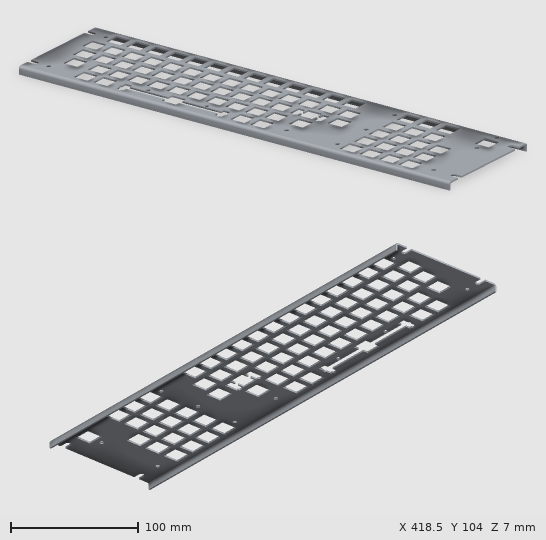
import cadquery as cq


length = 418.5
depth = 104.0
height = 7.0
sheet = 1.5
bend_outer_radius = 2.5
bend_inner_radius = bend_outer_radius - sheet

row_span = 76.0
pitch = row_span / 4
web_between_switches = 5.0
switch_size = pitch - web_between_switches
key_block_x = -length / 2 + 12.0

main_rows = {
    2: [1 + i for i in range(13)],
    1: [0.5 + i for i in range(14)],
    0: [0.75 + i for i in range(11)] + [12.25, 13.75],
    -1: [1] + [2.25 + i for i in range(10)] + [12.5],
    -2: [2.25, 3.25, 6.75, 10.25, 11.25],
}
enter_column, enter_row = 12.25, 0
space_column, space_row = 6.75, -2

pad_x = 104.3
pad_rows = {2: 3, 1: 3, 0: 4, -1: 4, -2: 4}

single_x = 184.0
single_y = 33.0
single_screw_offset = 13.5

enter_stabilizer_offset = 11.7
space_stabilizer_offset = 47.7
stabilizer_width = 6.5
stabilizer_top = 5.5
stabilizer_bottom = -6.5
foot_width = 3.0
foot_bottom = -8.0
lug_length = 0.9
lug_top = 0.5
lug_bottom = -2.3
enter_bar_top = 1.5
enter_bar_bottom = -1.5
space_bar_top = 2.0
space_bar_bottom = -3.0

screw_diameter = 3.8
left_screw_x = -190.5
front_screw_column = 12.5
pad_screw_x = 90.5
space_screw_offset = 1.5 * pitch
space_screw_row = -1.75
slot_width = 5.0
slot_depth = 8.5
outer_row_y = 2 * pitch


def column_x(column):
    return key_block_x + column * pitch


def cutter(x_min, x_max, y_min, y_max):
    """Rectangular prism through the full height."""
    return cq.Workplane("XY").box(
        x_max - x_min, y_max - y_min, height, centered=False
    ).translate((x_min, y_min, 0))


def folded_sheet():
    outside = cq.Workplane("XY").box(length, depth, height, centered=(True, True, False))
    outside = outside.edges("|X and >Z").fillet(bend_outer_radius)
    inside = cq.Workplane("XY").box(
        length, depth - 2 * sheet, height - sheet, centered=(True, True, False)
    )
    inside = inside.edges("|X and >Z").fillet(bend_inner_radius)
    return outside.cut(inside)


def switch_centres():
    main = [(column_x(c), row * pitch) for row, columns in main_rows.items() for c in columns]
    pad = [(pad_x + i * pitch, row * pitch) for row, count in pad_rows.items() for i in range(count)]
    return main + pad + [(single_x, single_y)]


def switch_holes():
    holes = cq.Workplane("XY").pushPoints(switch_centres())
    return holes.rect(switch_size, switch_size).extrude(height)


def stabilizer(column, row, offset, bar_top, bar_bottom, has_lug):
    """Pair of stabilizer pockets beside a wide key, joined by a bar through its switch hole."""
    inner = offset - stabilizer_width / 2
    outer = offset + stabilizer_width / 2
    pocket = cutter(inner, outer, stabilizer_bottom, stabilizer_top)
    foot = cutter(offset - foot_width / 2, offset + foot_width / 2, foot_bottom, stabilizer_bottom)
    side = pocket.union(foot).union(cutter(0, inner, bar_bottom, bar_top))
    if has_lug:
        side = side.union(cutter(outer, outer + lug_length, lug_bottom, lug_top))
    pair = side.union(side.mirror("YZ"))
    return pair.translate((column_x(column), row * pitch, 0))


def screw_holes():
    centres = [(left_screw_x, y) for y in (-outer_row_y, outer_row_y)]
    centres += [(pad_screw_x, y) for y in (-outer_row_y, 0, outer_row_y)]
    centres += [(single_x, single_y + side * single_screw_offset) for side in (-1, 1)]
    centres += [(single_x, -outer_row_y), (column_x(front_screw_column), -outer_row_y)]
    centres += [
        (column_x(space_column) + side * space_screw_offset, space_screw_row * pitch)
        for side in (-1, 1)
    ]
    return cq.Workplane("XY").pushPoints(centres).circle(screw_diameter / 2).extrude(height)


def edge_slots():
    """Round-ended slots open to the left and right ends; each is centred on the end face."""
    centres = [(x, y) for x in (-length / 2, length / 2) for y in (-outer_row_y, outer_row_y)]
    return cq.Workplane("XY").pushPoints(centres).slot2D(2 * slot_depth, slot_width).extrude(height)


result = folded_sheet().cut(switch_holes())
result = result.cut(
    stabilizer(enter_column, enter_row, enter_stabilizer_offset, enter_bar_top, enter_bar_bottom, False)
)
result = result.cut(
    stabilizer(space_column, space_row, space_stabilizer_offset, space_bar_top, space_bar_bottom, True)
)
result = result.cut(screw_holes()).cut(edge_slots())